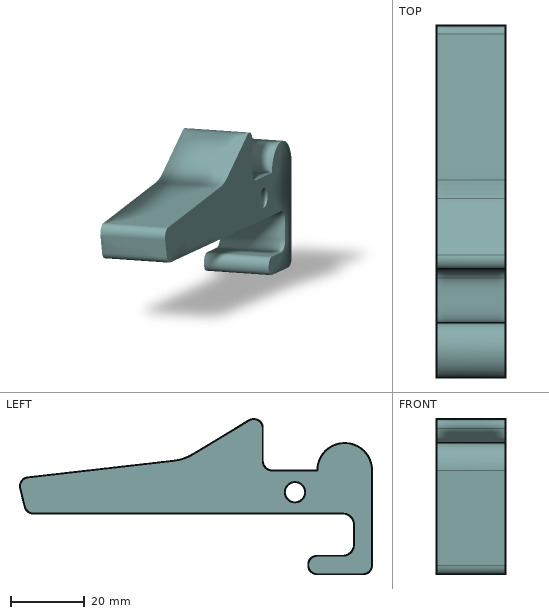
import cadquery as cq
import math

width = 19.0
length = 96.3
height = 42.5

arm_bottom = 16.6
bend_y = 51.4
arm_slope = math.radians(6.5)
ramp_slope = math.radians(31.1)
end_tilt = math.radians(14.0)
bend_radius = 12.6
corner_radius = 2.5

step_y = 29.9
shelf_z = 28.4
head_radius = 7.5
hole_diameter = 5.5
hole_y = 21.1
hole_z = 22.4

hook_wall = 5.0
hook_reach = 17.5
lip_thickness = 5.1
hook_inner_radius = 3.0

peak_z = height - corner_radius + corner_radius * (1 / math.cos(ramp_slope) + math.tan(ramp_slope))
bend_z = peak_z - (bend_y - step_y) * math.tan(ramp_slope)

end_fillet_y = length - corner_radius
end_fillet_z = (
    bend_z - (end_fillet_y - bend_y) * math.tan(arm_slope) - corner_radius / math.cos(arm_slope)
)
end_bottom_y = (
    end_fillet_y
    + corner_radius / math.cos(end_tilt)
    - (end_fillet_z - arm_bottom) * math.tan(end_tilt)
)

end_height = (bend_z - arm_bottom - (end_bottom_y - bend_y) * math.tan(arm_slope)) / (
    1 + math.tan(end_tilt) * math.tan(arm_slope)
)
end_top_y = end_bottom_y + end_height * math.tan(end_tilt)
end_top_z = arm_bottom + end_height

corners = [
    (0, 0, corner_radius),
    (0, shelf_z, 0),
    (step_y, shelf_z, corner_radius),
    (step_y, peak_z, corner_radius),
    (bend_y, bend_z, bend_radius),
    (end_top_y, end_top_z, corner_radius),
    (end_bottom_y, arm_bottom, corner_radius),
    (hook_wall, arm_bottom, hook_inner_radius),
    (hook_wall, lip_thickness, hook_inner_radius),
    (hook_reach, lip_thickness, corner_radius),
    (hook_reach, 0, corner_radius),
]


def profile_plane():
    """YZ workplane on the -X side face."""
    return cq.Workplane("YZ", origin=(-width / 2, 0, 0))


def fillet_corner(body, y, z, radius):
    """Round the X-direction edge that passes through (y, z)."""
    edge = cq.selectors.NearestToPointSelector((0, y, z))
    return body.edges("|X").edges(edge).fillet(radius)


def x_cylinder(y, z, radius):
    """Cylinder along X spanning the full width of the part."""
    return profile_plane().center(y, z).circle(radius).extrude(width)


outline = [(y, z) for y, z, radius in corners]
result = profile_plane().polyline(outline).close().extrude(width)
for y, z, radius in corners:
    if radius > 0:
        result = fillet_corner(result, y, z, radius)

result = result.union(x_cylinder(head_radius, shelf_z, head_radius))
result = result.cut(x_cylinder(hole_y, hole_z, hole_diameter / 2))